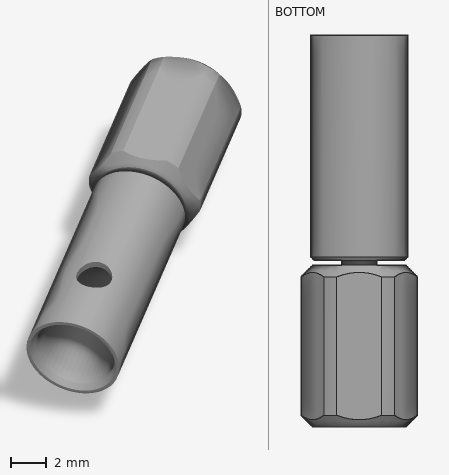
import cadquery as cq
import math

TOTAL_LENGTH = 21.8
HEX_LENGTH = 9.0
NECK_LENGTH = 0.26
SLEEVE_LENGTH = TOTAL_LENGTH - HEX_LENGTH - NECK_LENGTH

HEX_ACROSS_FLATS = 6.0
HEX_CORNER_DIAMETER = 6.5
HEX_CHAMFER = 0.65

NECK_DIAMETER = 1.96
SLEEVE_DIAMETER = 5.4
SLEEVE_CHAMFER = 0.2

BORE_DIAMETER = 4.6
BORE_DEPTH = 6.0
BORE_TIP_ANGLE = 118.0
MOUTH_DIAMETER = 5.0
MOUTH_DEPTH = 0.35

SIGHT_HOLE_DIAMETER = 2.0
SIGHT_HOLE_FROM_MOUTH = 4.01

MOUTH_Y = -TOTAL_LENGTH / 2
NECK_Y = MOUTH_Y + SLEEVE_LENGTH
HEX_Y = NECK_Y + NECK_LENGTH


def along_y(start_y):
    """Workplane at start_y whose normal points along +Y."""
    return cq.Workplane("XZ", origin=(0, start_y, 0)).transformed(rotate=(180, 0, 0))


def hex_grip():
    """Hexagonal bar with corners rounded to a cylinder and both ends turned to 45 degrees."""
    across_corners = HEX_ACROSS_FLATS / math.cos(math.radians(30))
    bar = along_y(HEX_Y).polygon(6, across_corners).extrude(HEX_LENGTH)
    turned_blank = along_y(HEX_Y).circle(HEX_CORNER_DIAMETER / 2).extrude(HEX_LENGTH)
    return bar.intersect(turned_blank.edges("%CIRCLE").chamfer(HEX_CHAMFER))


def neck():
    """Thin round pin joining the sleeve to the grip."""
    return along_y(NECK_Y).circle(NECK_DIAMETER / 2).extrude(NECK_LENGTH)


def sleeve():
    """Round sleeve with a chamfered shoulder next to the neck."""
    body = along_y(MOUTH_Y).circle(SLEEVE_DIAMETER / 2).extrude(SLEEVE_LENGTH)
    return body.faces(">Y").edges().chamfer(SLEEVE_CHAMFER)


def bore():
    """Blind bore, revolved about the Y axis from its half profile."""
    bore_radius = BORE_DIAMETER / 2
    bore_end_y = MOUTH_Y + BORE_DEPTH
    tip_length = bore_radius / math.tan(math.radians(BORE_TIP_ANGLE / 2))
    half_profile = (
        cq.Workplane("XY")
        .moveTo(0, MOUTH_Y)
        .lineTo(MOUTH_DIAMETER / 2, MOUTH_Y)
        .lineTo(bore_radius, MOUTH_Y + MOUTH_DEPTH)
        .lineTo(bore_radius, bore_end_y)
        .lineTo(0, bore_end_y + tip_length)
        .close()
    )
    return half_profile.revolve(360, (0, 0, 0), (0, 1, 0))


def sight_hole():
    """Radial hole from the bore axis out through the top of the sleeve."""
    hole_y = MOUTH_Y + SIGHT_HOLE_FROM_MOUTH
    return (
        cq.Workplane("XY")
        .center(0, hole_y)
        .circle(SIGHT_HOLE_DIAMETER / 2)
        .extrude(SLEEVE_DIAMETER / 2)
    )


solid_body = sleeve().union(neck()).union(hex_grip())
result = solid_body.cut(bore()).cut(sight_hole())